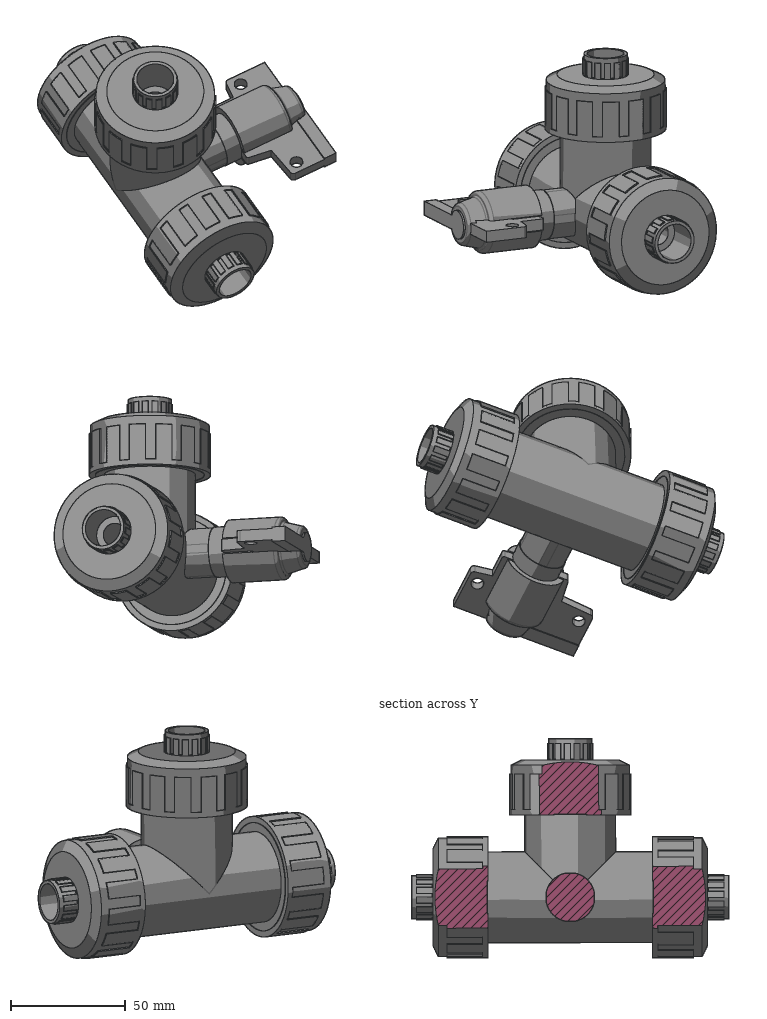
import cadquery as cq
import math

TOTAL_DEPTH = 98.5
REACH = 69.2
PIPE_DIA = 39.7
BORE_DIA = 10.0
SOCKET_DIA = 16.0
SOCKET_DEPTH = 16.6

NUT_DIA = 52.0
NUT_RIB_DIA = 53.0
NUT_BASE = 35.9
NUT_RIB_BASE = 38.2
NUT_RIB_TOP = 53.9
NUT_SHOULDER = 57.6
NUT_TOP = 60.0
NUT_FACE_DIA = 42.4
NUT_RECESS_DIA = 47.6
NUT_RECESS_DEPTH = 0.3

NIPPLE_DIA = 19.0
NIPPLE_RIB_DIA = 20.0
NIPPLE_RIB_BASE = NUT_TOP + 0.4
NIPPLE_RIB_TOP = REACH - 2.1

RIB_COUNT = 14
GROOVE_ANGLE = 9.8
GROOVE_START = 5.1

NECK_DIA = 21.5
NECK_FLAT_WIDTH = 3.7
NECK_END = 30.0
SPINDLE_DIA = 22.0
SPINDLE_END = 50.1

HUB_RADIUS = 13.78
HUB_START = 37.3
HUB_ROUND = 1.7
HUB_SHOULDER = 62.2
CONE_BASE_RADIUS = 11.2
CONE_BASE_ROUND = 0.8
CONE_TIP_RADIUS = 9.4
CONE_TIP_ROUND = 1.4
CONE_END = 71.0
PIN_RADIUS = 6.4
HANDLE_END = TOTAL_DEPTH - NUT_RIB_DIA / 2
SLOT_HEIGHT = 7.0
SLOT_END = 67.3

PLATE_THICKNESS = 5.0
PLATE_LEFT = -24.9
PLATE_RIGHT = 33.2
PLATE_TOP = 69.8
WING_BOTTOM = 49.9
WING_ROOT = 48.5
WEB_LEFT = -15.7
WEB_RIGHT_TOP = 17.3
WEB_RIGHT_BOTTOM = 15.7
WING_CORNER_ROUND = 1.7
WEB_CORNER_ROUND = 1.0
PLATE_HOLE_DIA = 5.5
PLATE_HOLE_XS = (-20.1, 28.3)
PLATE_HOLE_Y = 54.8
STRIP_BASE = 66.0
STRIP_THICKNESS = 6.4


def disc(diameter, bottom, top):
    """Upright cylinder on the Z axis between two heights."""
    return cq.Workplane("XY").workplane(offset=bottom).circle(diameter / 2).extrude(top - bottom)


def rod_y(diameter, start, end):
    """Cylinder on the Y axis between two Y positions."""
    return cq.Workplane("XZ").workplane(offset=-start).circle(diameter / 2).extrude(start - end)


def ribbed_ring(root_dia, rib_dia, ring_bottom, groove_bottom, top):
    """Ring with grooves that run from its top edge down to groove_bottom."""
    ring = disc(rib_dia, ring_bottom, top)
    reach = rib_dia
    half_width = reach * math.tan(math.radians(GROOVE_ANGLE / 2))
    wedge = (
        cq.Workplane("XY")
        .workplane(offset=groove_bottom)
        .polyline([(0, 0), (-half_width, -reach), (half_width, -reach)])
        .close()
        .extrude(top - groove_bottom)
    )
    for i in range(RIB_COUNT):
        angle = GROOVE_START + i * 360 / RIB_COUNT
        ring = ring.cut(wedge.rotate((0, 0, 0), (0, 0, 1), angle))
    root = disc(root_dia, ring_bottom, top)
    return ring.union(root)


def make_port():
    """Pipe, union nut and nipple of one port, pointing along +Z."""
    pipe = disc(PIPE_DIA, 0, NUT_TOP)
    nut = (
        cq.Workplane("XZ")
        .moveTo(0, NUT_BASE)
        .lineTo(NUT_DIA / 2, NUT_BASE)
        .lineTo(NUT_DIA / 2, NUT_SHOULDER)
        .lineTo(NUT_FACE_DIA / 2, NUT_TOP)
        .lineTo(0, NUT_TOP)
        .close()
        .revolve(360, (0, 0, 0), (0, 1, 0))
    )
    nut = nut.union(ribbed_ring(NUT_DIA, NUT_RIB_DIA, NUT_BASE, NUT_RIB_BASE, NUT_RIB_TOP))
    nut = nut.cut(disc(NUT_RECESS_DIA, NUT_BASE, NUT_BASE + NUT_RECESS_DEPTH))
    nipple = disc(NIPPLE_DIA, NUT_TOP, REACH)
    grip = ribbed_ring(NIPPLE_DIA, NIPPLE_RIB_DIA, NUT_TOP, NIPPLE_RIB_BASE, NIPPLE_RIB_TOP)
    return pipe.union(nut).union(nipple).union(grip)


def make_port_bore():
    """Passage of one port: a socket at the open end and a narrower bore to the centre."""
    return disc(BORE_DIA, 0, REACH).union(disc(SOCKET_DIA, REACH - SOCKET_DEPTH, REACH))


def make_spindle():
    """Neck with four narrow flats, then the plain spindle that enters the hub."""
    neck = rod_y(NECK_DIA, 0, NECK_END)
    flat_distance = math.sqrt((NECK_DIA / 2) ** 2 - (NECK_FLAT_WIDTH / 2) ** 2)
    neck_square = cq.Workplane("XY").box(2 * flat_distance, 2 * NECK_END, 2 * flat_distance)
    return neck.intersect(neck_square).union(rod_y(SPINDLE_DIA, NECK_END, SPINDLE_END))


def make_hub():
    """Turned hub with a rounded shoulder, a cone and an end pin, slotted for the plate."""
    diagonal = math.sqrt(0.5)
    round_start = HUB_SHOULDER - HUB_ROUND
    round_inner = HUB_RADIUS - HUB_ROUND
    cone_start = HUB_SHOULDER + CONE_BASE_ROUND
    cone_outer = CONE_BASE_RADIUS + CONE_BASE_ROUND
    tip_start = CONE_END - CONE_TIP_ROUND
    tip_inner = CONE_TIP_RADIUS - CONE_TIP_ROUND
    hub = (
        cq.Workplane("XY")
        .moveTo(0, HUB_START)
        .lineTo(HUB_RADIUS, HUB_START)
        .lineTo(HUB_RADIUS, round_start)
        .threePointArc(
            (round_inner + HUB_ROUND * diagonal, round_start + HUB_ROUND * diagonal),
            (round_inner, HUB_SHOULDER),
        )
        .lineTo(cone_outer, HUB_SHOULDER)
        .threePointArc(
            (cone_outer - CONE_BASE_ROUND * diagonal, cone_start - CONE_BASE_ROUND * diagonal),
            (CONE_BASE_RADIUS, cone_start),
        )
        .lineTo(CONE_TIP_RADIUS, tip_start)
        .threePointArc(
            (tip_inner + CONE_TIP_ROUND * diagonal, tip_start + CONE_TIP_ROUND * diagonal),
            (tip_inner, CONE_END),
        )
        .lineTo(PIN_RADIUS, CONE_END)
        .lineTo(PIN_RADIUS, HANDLE_END)
        .lineTo(0, HANDLE_END)
        .close()
        .revolve(360, (0, 0, 0), (0, 1, 0))
    )
    slot_length = SLOT_END - HUB_START
    slot = cq.Workplane("XY").box(2 * HUB_RADIUS, slot_length, SLOT_HEIGHT)
    return hub.cut(slot.translate((0, HUB_START + slot_length / 2, 0)))


def make_plate():
    """Flat handle plate with two wings, two holes and a thicker strip along one edge."""
    plate = (
        cq.Workplane("XY")
        .polyline([
            (PLATE_LEFT, PLATE_TOP),
            (PLATE_LEFT, WING_BOTTOM),
            (WEB_LEFT, WING_ROOT),
            (WEB_LEFT, HUB_START),
            (WEB_RIGHT_BOTTOM, HUB_START),
            (WEB_RIGHT_TOP, WING_ROOT),
            (PLATE_RIGHT, WING_BOTTOM),
            (PLATE_RIGHT, PLATE_TOP),
        ])
        .close()
        .extrude(PLATE_THICKNESS / 2, both=True)
    )
    for x in (PLATE_LEFT, PLATE_RIGHT):
        corner = cq.selectors.NearestToPointSelector((x, WING_BOTTOM, 0))
        plate = plate.edges(corner).fillet(WING_CORNER_ROUND)
    plate = plate.faces("<Y").edges("|Z").fillet(WEB_CORNER_ROUND)
    holes = (
        cq.Workplane("XY")
        .pushPoints([(x, PLATE_HOLE_Y) for x in PLATE_HOLE_XS])
        .circle(PLATE_HOLE_DIA / 2)
        .extrude(PLATE_THICKNESS, both=True)
    )
    strip_width = HANDLE_END - STRIP_BASE
    strip = cq.Workplane("XY").box(PLATE_RIGHT, strip_width, STRIP_THICKNESS)
    strip = strip.translate((PLATE_RIGHT / 2, STRIP_BASE + strip_width / 2, 0))
    return plate.cut(holes).union(strip)


def on_every_port(shape):
    """Copy a +Z port shape onto the branch and both ends of the run."""
    copies = shape
    for angle in (-90, 90):
        copies = copies.union(shape.rotate((0, 0, 0), (0, 1, 0), angle))
    return copies


tee = on_every_port(make_port()).union(make_spindle())
handle = make_hub().union(make_plate())
result = tee.union(handle).cut(on_every_port(make_port_bore()))